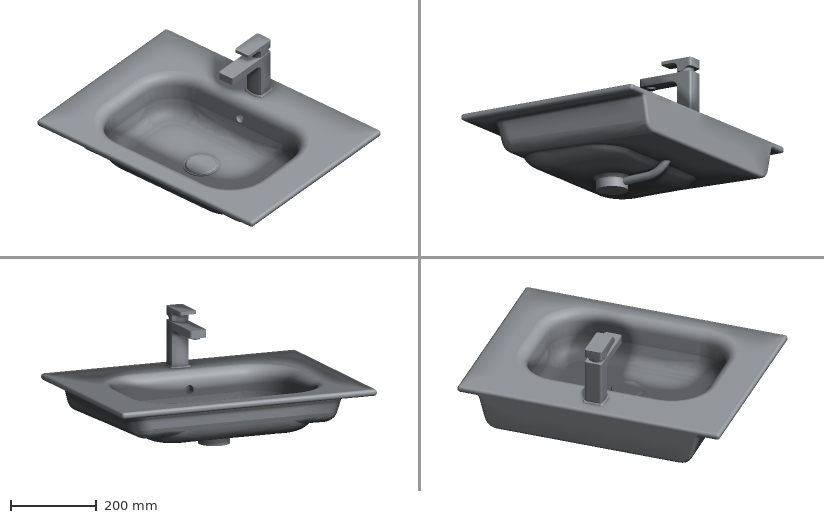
import cadquery as cq


EDGE_SEARCH = 0.5

DECK_WIDTH = 650.0
DECK_DEPTH = 480.0
DECK_THICKNESS = 15.5
EDGE_RADIUS = 7.0
BACK_Y = DECK_DEPTH / 2

BOWL_Y = -29.0
CORE_WIDTH = 262.5
CORE_DEPTH = 114.5
RIM_OFFSET = 113.0
WALL_TOP_OFFSET = 88.5
WALL_BOTTOM_OFFSET = 83.0
FLOOR_OFFSET = 37.0
WALL_TOP_Z = -23.5
WALL_BOTTOM_Z = -58.5
FLOOR_Z = -100.0
SHELL_THICKNESS = 10.5
UNDERSIDE_Z = -110.5
UNDERSIDE_OFFSET = 26.0

SKIRT_WIDTH = 546.0
SKIRT_BASE_WIDTH = 502.0
SKIRT_FRONT_Y = -188.5
SKIRT_BASE_FRONT_Y = -176.0
SKIRT_BOTTOM_Z = -97.5
SKIRT_CORNER_RADIUS = 38.0
SKIRT_BOTTOM_RADIUS = 32.5
SKIRT_OVERRUN = 97.5
SKIRT_RISE = 14.0
SKIRT_FLARE_RADIUS = 6.5

OUTLET_DIAMETER = 75.5
OUTLET_BOTTOM_Z = -141.0
COLLAR_FLARE = 8.0
COLLAR_DIAMETER = OUTLET_DIAMETER + 2 * COLLAR_FLARE
OVERFLOW_DIAMETER = 21.0
OVERFLOW_Z = -43.0
OVERFLOW_DEPTH = 26.0
PIPE_DIAMETER = 19.5
PIPE_OUTLET_Z = -125.5
PIPE_BEND_Y = 70.0
PIPE_BEND_Z = -121.5
PIPE_TOP_Y = 127.0
PIPE_TOP_Z = -86.0

CAP_DIAMETER = 84.5
CAP_BUTTON_DIAMETER = 75.5
CAP_HEIGHT = 6.0
CAP_LIP = 2.0
CAP_CHAMFER = 3.0

COLUMN_WIDTH = 42.0
COLUMN_BACK_Y = 204.0
COLUMN_FRONT_Y = 160.5
COLUMN_TOP_Z = 109.0
FRONT_BOW = 6.0
FAUCET_EDGE_RADIUS = 6.0
SPOUT_TIP_Y = 60.5
SPOUT_BOTTOM_Z = 90.5
SPOUT_FILLET = 15.5
AERATOR_DIAMETER = 21.0
AERATOR_Y = 79.0
AERATOR_BOTTOM_Z = 85.0
FOOT_MARGIN = 4.5
FOOT_HEIGHT = 3.0
FOOT_CHAMFER = 2.5
HANDLE_TOP_Z = 142.5
HANDLE_BOTTOM_Z = 112.0
HANDLE_TIP_Y = 119.5
LEVER_THICKNESS = 8.0
LEVER_FILLET = 13.0
HEEL_LENGTH = 23.5
HEEL_HEIGHT = 10.0
HEEL_BULGE = 3.0
NECK_DIAMETER = 39.0
NECK_Y = 177.5


def bowl_profile(plane, offsets_and_heights):
    """Half section of a bowl: floor, dished bend, leaning wall and, if given, a rolled rim."""
    floor, wall_bottom, wall_top = offsets_and_heights[:3]
    lean = (wall_top[0] - wall_bottom[0], wall_top[1] - wall_bottom[1])
    section = (
        plane.moveTo(0, floor[1])
        .lineTo(*floor)
        .spline([wall_bottom], tangents=[(1, 0), lean], includeCurrent=True)
        .lineTo(*wall_top)
    )
    for rim in offsets_and_heights[3:]:
        section = section.tangentArcPoint(rim, relative=False)
    return section.lineTo(0, offsets_and_heights[-1][1]).close()


def ring_around_core(offsets_and_heights):
    """Carry a bowl section around the core rectangle and fill the core."""
    corner = (CORE_WIDTH / 2, CORE_DEPTH / 2, 0)
    floor_z = offsets_and_heights[0][1]
    height = offsets_and_heights[-1][1] - floor_z
    end_plane = cq.Plane(origin=corner, xDir=(1, 0, 0), normal=(0, -1, 0))
    side_plane = cq.Plane(origin=corner, xDir=(0, 1, 0), normal=(1, 0, 0))

    def section(plane):
        return bowl_profile(cq.Workplane(plane), offsets_and_heights)

    core = cq.Workplane(origin=(0, 0, floor_z + height / 2)).box(CORE_WIDTH, CORE_DEPTH, height)
    end_wall = section(end_plane).extrude(CORE_DEPTH)
    side_wall = section(side_plane).extrude(-CORE_WIDTH)
    corner_wall = section(end_plane).revolve(90, (0, 0, 0), (0, 1, 0))
    half_ring = end_wall.union(corner_wall).union(corner_wall.mirror("XZ")).union(side_wall)
    other_half = half_ring.rotate((0, 0, 0), (0, 0, 1), 180)
    return core.union(half_ring).union(other_half).clean().translate((0, BOWL_Y, 0))


def skirt_outline(z, width, front_y):
    """Rounded rectangle at height z that runs past the back of the deck."""
    depth = BACK_Y + SKIRT_OVERRUN - front_y
    return (
        cq.Sketch()
        .rect(width, depth)
        .vertices()
        .fillet(SKIRT_CORNER_RADIUS)
        .moved(cq.Location(cq.Vector(0, front_y + depth / 2, z)))
    )


def make_skirt():
    """Tapered apron below the deck, flush with the back, its bottom rising to the front."""
    block = cq.Workplane().placeSketch(
        skirt_outline(-DECK_THICKNESS, SKIRT_WIDTH, SKIRT_FRONT_Y),
        skirt_outline(SKIRT_BOTTOM_Z, SKIRT_BASE_WIDTH, SKIRT_BASE_FRONT_Y),
    ).loft()
    side_shape = (
        cq.Workplane("YZ", origin=(-DECK_WIDTH / 2, 0, 0))
        .moveTo(BACK_Y, 0)
        .lineTo(BACK_Y, SKIRT_BOTTOM_Z)
        .lineTo(-BACK_Y, SKIRT_BOTTOM_Z + SKIRT_RISE)
        .lineTo(-BACK_Y, 0)
        .close()
        .extrude(DECK_WIDTH)
    )
    trimmed = block.intersect(side_shape)
    return trimmed.faces("<Z").edges("not >Y").fillet(SKIRT_BOTTOM_RADIUS)


def make_deck_and_skirt():
    """Flat deck flared into the skirt, with the deck edges and the whole back outline rounded."""
    deck = cq.Workplane(origin=(0, 0, -DECK_THICKNESS / 2)).box(
        DECK_WIDTH, DECK_DEPTH, DECK_THICKNESS
    )
    bend = cq.selectors.BoxSelector(
        (-DECK_WIDTH / 2 + EDGE_SEARCH, -BACK_Y + EDGE_SEARCH, -DECK_THICKNESS - EDGE_SEARCH),
        (DECK_WIDTH / 2 - EDGE_SEARCH, BACK_Y - EDGE_SEARCH, -DECK_THICKNESS + EDGE_SEARCH),
    )
    joined = deck.union(make_skirt()).edges(bend).fillet(SKIRT_FLARE_RADIUS)
    outline = joined.faces(">Y or <Y or >X or <X").edges()
    return outline.fillet(EDGE_RADIUS)


def make_outlet():
    """Drain spigot with a wider collar against the bowl."""
    spigot = (
        cq.Workplane(origin=(0, BOWL_Y, OUTLET_BOTTOM_Z))
        .circle(OUTLET_DIAMETER / 2)
        .extrude(FLOOR_Z - OUTLET_BOTTOM_Z)
    )
    collar = (
        cq.Workplane(origin=(0, BOWL_Y, UNDERSIDE_Z - COLLAR_FLARE))
        .circle(COLLAR_DIAMETER / 2)
        .extrude(FLOOR_Z - UNDERSIDE_Z + COLLAR_FLARE)
        .faces("<Z")
        .chamfer(COLLAR_FLARE)
    )
    return spigot.union(collar)


def make_overflow_pipe():
    """Round pipe from the outlet that bends up into the skirt."""
    run = (PIPE_BEND_Y - BOWL_Y, PIPE_BEND_Z - PIPE_OUTLET_Z)
    path = (
        cq.Workplane("YZ")
        .moveTo(BOWL_Y, PIPE_OUTLET_Z)
        .line(*run)
        .tangentArcPoint((PIPE_TOP_Y, PIPE_TOP_Z), relative=False)
    )
    return (
        cq.Workplane("XZ", origin=(0, BOWL_Y, PIPE_OUTLET_Z))
        .circle(PIPE_DIAMETER / 2)
        .sweep(path)
    )


def make_overflow_hole():
    """Blind hole in the back wall of the bowl, as a cutting tool."""
    wall_y = BOWL_Y + CORE_DEPTH / 2 + WALL_BOTTOM_OFFSET
    return (
        cq.Workplane("XZ", origin=(0, wall_y - OVERFLOW_DIAMETER / 2, OVERFLOW_Z))
        .circle(OVERFLOW_DIAMETER / 2)
        .extrude(-OVERFLOW_DEPTH - OVERFLOW_DIAMETER / 2)
    )


def make_basin():
    cavity = ring_around_core([
        (FLOOR_OFFSET, FLOOR_Z),
        (WALL_BOTTOM_OFFSET, WALL_BOTTOM_Z),
        (WALL_TOP_OFFSET, WALL_TOP_Z),
        (RIM_OFFSET, 0),
    ])
    shell = ring_around_core([
        (UNDERSIDE_OFFSET, UNDERSIDE_Z),
        (WALL_BOTTOM_OFFSET + SHELL_THICKNESS, WALL_BOTTOM_Z),
        (WALL_TOP_OFFSET + SHELL_THICKNESS, WALL_TOP_Z),
    ])
    return (
        make_deck_and_skirt()
        .union(shell)
        .union(make_outlet())
        .union(make_overflow_pipe())
        .cut(cavity)
        .cut(make_overflow_hole())
    )


def make_drain_cap():
    """Disc with a thin lip that rests on the bowl floor over the outlet."""
    lip = (
        cq.Workplane(origin=(0, BOWL_Y, FLOOR_Z))
        .circle(CAP_DIAMETER / 2)
        .extrude(CAP_LIP)
    )
    button = (
        lip.faces(">Z")
        .workplane()
        .circle(CAP_BUTTON_DIAMETER / 2)
        .extrude(CAP_HEIGHT - CAP_LIP)
    )
    return button.faces(">Z").edges().chamfer(CAP_CHAMFER)


def bowed_block(margin, bottom_z, height):
    """Upright block around the column's plan, grown by margin, with a bowed front."""
    half_width = COLUMN_WIDTH / 2 + margin
    back_y = COLUMN_BACK_Y + margin
    front_y = COLUMN_FRONT_Y - margin
    return (
        cq.Workplane(origin=(0, 0, bottom_z))
        .moveTo(-half_width, front_y + FRONT_BOW)
        .lineTo(-half_width, back_y)
        .lineTo(half_width, back_y)
        .lineTo(half_width, front_y + FRONT_BOW)
        .threePointArc((0, front_y), (-half_width, front_y + FRONT_BOW))
        .close()
        .extrude(height)
        .edges("|Z and >Y")
        .fillet(FAUCET_EDGE_RADIUS)
    )


def forward_bar(tip_y, bottom_z, top_z):
    """Horizontal bar from inside the column to tip_y, with a rounded tip."""
    root_y = (COLUMN_BACK_Y + COLUMN_FRONT_Y) / 2
    return (
        cq.Workplane(origin=(0, tip_y, bottom_z))
        .box(COLUMN_WIDTH, root_y - tip_y, top_z - bottom_z, centered=(True, False, False))
        .edges("|Z and <Y")
        .fillet(FAUCET_EDGE_RADIUS)
    )


def join_with_fillet(block, bar, bar_bottom_z, radius):
    """Join a bar to a bowed block and round the inner bend below the bar."""
    corner = cq.selectors.BoxSelector(
        (-COLUMN_WIDTH, COLUMN_FRONT_Y - EDGE_SEARCH, bar_bottom_z - EDGE_SEARCH),
        (COLUMN_WIDTH, COLUMN_FRONT_Y + FRONT_BOW, bar_bottom_z + EDGE_SEARCH),
    )
    return block.union(bar).edges(corner).edges("%CIRCLE").fillet(radius)


def make_spout():
    """Column and spout, with the aerator under the tip."""
    column = bowed_block(0, 0, COLUMN_TOP_Z)
    bar = forward_bar(SPOUT_TIP_Y, SPOUT_BOTTOM_Z, COLUMN_TOP_Z)
    aerator = (
        cq.Workplane(origin=(0, AERATOR_Y, AERATOR_BOTTOM_Z))
        .circle(AERATOR_DIAMETER / 2)
        .extrude(COLUMN_TOP_Z - AERATOR_BOTTOM_Z)
    )
    return join_with_fillet(column, bar, SPOUT_BOTTOM_Z, SPOUT_FILLET).union(aerator)


def make_handle():
    """Lever with a block above the column and a rounded heel at its lower back."""
    block = bowed_block(0, HANDLE_BOTTOM_Z, HANDLE_TOP_Z - HANDLE_BOTTOM_Z)
    lever_bottom_z = HANDLE_TOP_Z - LEVER_THICKNESS
    lever = forward_bar(HANDLE_TIP_Y, lever_bottom_z, HANDLE_TOP_Z)
    heel = (
        cq.Workplane("YZ", origin=(-COLUMN_WIDTH, 0, 0))
        .moveTo(COLUMN_BACK_Y, HANDLE_BOTTOM_Z)
        .line(0, HEEL_HEIGHT)
        .sagittaArc((COLUMN_BACK_Y - HEEL_LENGTH, HANDLE_BOTTOM_Z), -HEEL_BULGE)
        .close()
        .extrude(2 * COLUMN_WIDTH)
    )
    return join_with_fillet(block, lever, lever_bottom_z, LEVER_FILLET).cut(heel)


def make_faucet():
    foot = bowed_block(FOOT_MARGIN, 0, FOOT_HEIGHT).faces(">Z").edges().chamfer(FOOT_CHAMFER)
    neck = (
        cq.Workplane(origin=(0, NECK_Y, COLUMN_TOP_Z))
        .circle(NECK_DIAMETER / 2)
        .extrude(HANDLE_BOTTOM_Z - COLUMN_TOP_Z + LEVER_THICKNESS)
    )
    return foot.union(make_spout()).union(neck).union(make_handle())


basin = make_basin()
drain_cap = make_drain_cap()
faucet = make_faucet()

result = cq.Compound.makeCompound([basin.val(), drain_cap.val(), faucet.val()])